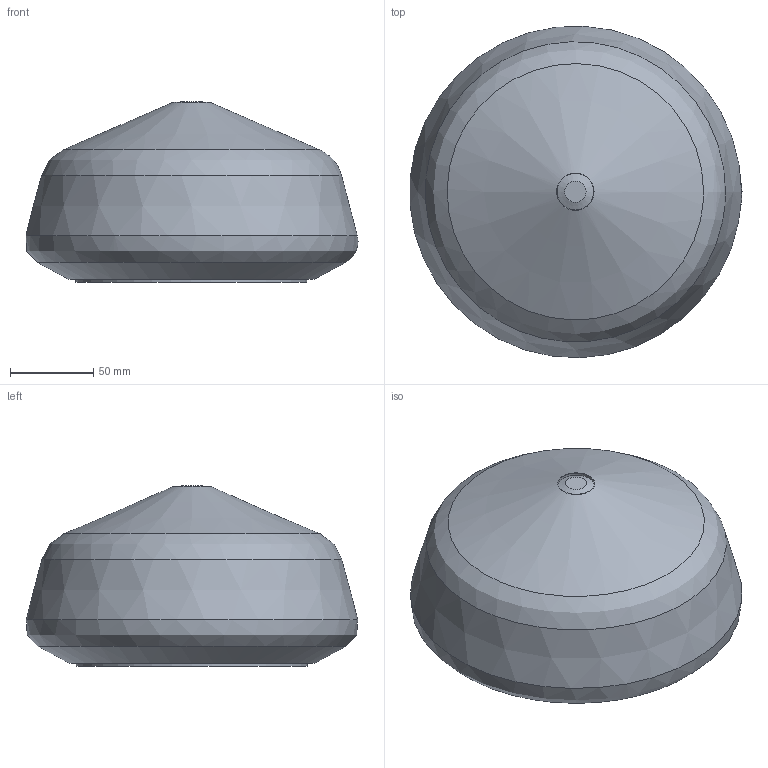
import cadquery as cq
import math

max_radius = 99.89
total_height = 108.12

foot_radius = 69.3
foot_height = 1.8

underside_radius = 73.6
lower_flank_angle = 28.0
side_flank_angle = 14.6
roof_angle = 23.4
lower_round = 14.0
upper_round = 23.0

rim_radius = 11.2
opening_radius = 11.0
plug_top_radius = 6.4
plug_rise = 0.4
rim_height = total_height - plug_rise

lower_slope = math.tan(math.radians(lower_flank_angle))
side_lean = math.tan(math.radians(side_flank_angle))
roof_slope = math.tan(math.radians(roof_angle))

round_center_radius = max_radius - lower_round
round_center_height = (
    foot_height
    + (round_center_radius - underside_radius) * lower_slope
    + lower_round / math.cos(math.radians(lower_flank_angle))
)
side_base_radius = (
    round_center_radius
    + side_lean * round_center_height
    + lower_round / math.cos(math.radians(side_flank_angle))
)

lower_corner_radius = (
    side_base_radius - side_lean * (foot_height - underside_radius * lower_slope)
) / (1 + side_lean * lower_slope)
lower_corner_height = foot_height + (lower_corner_radius - underside_radius) * lower_slope

upper_corner_radius = (
    side_base_radius - side_lean * (rim_height + rim_radius * roof_slope)
) / (1 - side_lean * roof_slope)
upper_corner_height = rim_height - (upper_corner_radius - rim_radius) * roof_slope

plug_base_height = total_height - (opening_radius - plug_top_radius) * roof_slope


def circle_edge_at(height):
    """Selects the circular edge lying at the given height."""
    tolerance = 0.01
    reach = 2 * max_radius
    return cq.selectors.BoxSelector(
        (-reach, -reach, height - tolerance),
        (reach, reach, height + tolerance),
    )


def make_body():
    """Revolved body with its foot, rounded at the two flank corners."""
    profile = (
        cq.Workplane("XZ")
        .moveTo(0, 0)
        .lineTo(foot_radius, 0)
        .lineTo(foot_radius, foot_height)
        .lineTo(underside_radius, foot_height)
        .lineTo(lower_corner_radius, lower_corner_height)
        .lineTo(upper_corner_radius, upper_corner_height)
        .lineTo(rim_radius, rim_height)
        .lineTo(0, rim_height)
        .close()
    )
    body = profile.revolve(360, (0, 0, 0), (0, 1, 0))
    body = body.edges(circle_edge_at(lower_corner_height)).fillet(lower_round)
    return body.edges(circle_edge_at(upper_corner_height)).fillet(upper_round)


def make_opening():
    """Round opening in the roof, down to the foot of the plug's cone."""
    return (
        cq.Workplane("XY")
        .workplane(offset=plug_base_height)
        .circle(opening_radius)
        .extrude(rim_height - plug_base_height)
    )


def make_plug():
    """Truncated cone filling the opening, sloping parallel to the roof."""
    return (
        cq.Workplane("XZ")
        .moveTo(0, plug_base_height)
        .lineTo(opening_radius, plug_base_height)
        .lineTo(plug_top_radius, total_height)
        .lineTo(0, total_height)
        .close()
        .revolve(360, (0, 0, 0), (0, 1, 0))
    )


result = make_body().cut(make_opening()).union(make_plug())